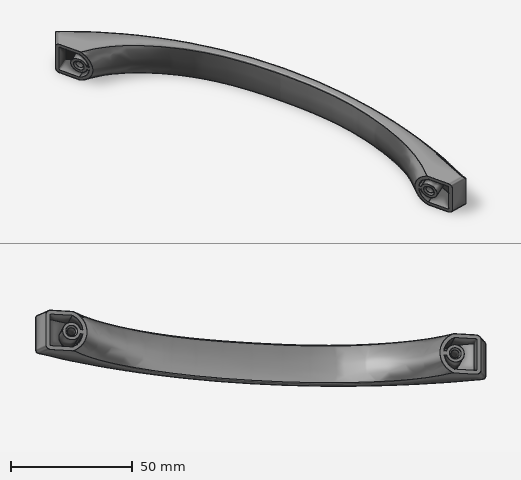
import cadquery as cq
import math

length = 187.8
height = 29.1
width = 17.0
half_length = length / 2
half_width = width / 2

end_corner_height = 6.4
foot_end_x = -90.7
end_corner_radius = 1.9
outer_edge_radius = 1.1
inner_edge_radius = 0.8

edge_foot_x = -79.5
crown_foot_x = -73.6
knee_x = -47.0
edge_knee_height = 19.2
crown_knee_height = 18.0
edge_middle_height = 25.5
crown_middle_height = 24.8
foot_direction = cq.Vector(1.0, 1.1, 0)
middle_direction = cq.Vector(1.0, 0, 0)
inner_section_count = 9

wall = 1.7
roof_thickness = 2.3
pocket_corner_radius = 0.5
boss_x = -80.0
boss_radius = 3.8
hole_radius = 1.7
chamfer_width = 0.8
hole_depth = 9.4
hole_tip = 1.0
rib_thickness = 1.9

foot_arc_rise = crown_foot_x - edge_foot_x
foot_arc_radius = (half_width**2 + foot_arc_rise**2) / (2 * foot_arc_rise)
foot_arc_center_x = crown_foot_x - foot_arc_radius

outer_rise = height - end_corner_height
outer_radius = (half_length**2 + outer_rise**2) / (2 * outer_rise)
outer_center_y = height - outer_radius


def outer_height(x):
    """Height of the outer face at x."""
    return outer_center_y + math.sqrt(outer_radius**2 - x**2)


def blend(edge, crown, share):
    """Value between the side edge (share 0) and the crown (share 1)."""
    return edge + (crown - edge) * share


def half_blank():
    """Left half of the bow, still solid down to the mounting plane."""
    arc_middle_x = -half_length / 2
    return (
        cq.Workplane("XY", origin=(0, 0, -half_width))
        .moveTo(foot_end_x, 0)
        .lineTo(-half_length, end_corner_height)
        .threePointArc((arc_middle_x, outer_height(arc_middle_x)), (0, height))
        .lineTo(0, 0)
        .close()
        .extrude(width)
    )


def under_bow_outline(z):
    """Closed outline of the space under the bow at the level z."""
    arc_x = foot_arc_center_x + math.sqrt(foot_arc_radius**2 - z**2)
    share = (arc_x - edge_foot_x) / foot_arc_rise
    foot = cq.Vector(arc_x, 0, z)
    knee = cq.Vector(knee_x, blend(edge_knee_height, crown_knee_height, share), z)
    middle = cq.Vector(0, blend(edge_middle_height, crown_middle_height, share), z)
    base = cq.Vector(0, 0, z)
    inner_curve = cq.Edge.makeSpline([foot, knee, middle], tangents=[foot_direction, middle_direction])
    return cq.Wire.assembleEdges(
        [inner_curve, cq.Edge.makeLine(middle, base), cq.Edge.makeLine(base, foot)]
    )


def under_bow():
    """Space under the bow, lofted across the width so that the inner face bulges at the crown."""
    step = width / (inner_section_count - 1)
    outlines = [under_bow_outline(-half_width + i * step) for i in range(inner_section_count)]
    return cq.Workplane(cq.Solid.makeLoft(outlines))


def rounded_end():
    """Prism along the sloping end face, as wide as the bow, with its two end corners rounded."""
    end_slope = cq.Vector(foot_end_x + half_length, -end_corner_height, 0)
    plane = cq.Plane(
        origin=(foot_end_x, 0, 0),
        xDir=(-end_slope.y, end_slope.x, 0),
        normal=end_slope.toTuple(),
    )
    corner_z = half_width - end_corner_radius
    arc_offset = end_corner_radius * math.sqrt(0.5)
    arc_middle = (end_corner_radius - arc_offset, corner_z + arc_offset)
    return (
        cq.Workplane(plane)
        .moveTo(length, -half_width)
        .lineTo(end_corner_radius, -half_width)
        .threePointArc((arc_middle[0], -arc_middle[1]), (0, -corner_z))
        .lineTo(0, corner_z)
        .threePointArc(arc_middle, (end_corner_radius, half_width))
        .lineTo(length, half_width)
        .close()
        .extrude(length, both=True)
    )


def round_long_edges(half):
    """Round the long edges of the bow: first along the outer face, then along the inner face."""
    half = half.edges("%CIRCLE").fillet(outer_edge_radius)
    return half.faces("<Z or >Z").edges("%BSPLINE").fillet(inner_edge_radius)


def pocket():
    """Cavity of the foot: inset from the foot outline, with a roof that follows the outer face."""
    inner_z = half_width - wall
    arc_radius = foot_arc_radius - wall
    end_x = foot_end_x + wall
    arc_start_x = foot_arc_center_x + math.sqrt(arc_radius**2 - inner_z**2)
    prism = (
        cq.Workplane("XZ")
        .moveTo(end_x, -inner_z)
        .lineTo(arc_start_x, -inner_z)
        .threePointArc((foot_arc_center_x + arc_radius, 0), (arc_start_x, inner_z))
        .lineTo(end_x, inner_z)
        .close()
        .extrude(-height)
        .edges("|Y and <X")
        .fillet(pocket_corner_radius)
    )
    below_roof = (
        cq.Workplane("XY", origin=(0, outer_center_y, -half_width))
        .circle(outer_radius - roof_thickness)
        .extrude(width)
    )
    boss = cq.Workplane("XZ").center(boss_x, 0).circle(boss_radius).extrude(-height)
    rib_length = foot_arc_center_x + foot_arc_radius - boss_x
    rib = (
        cq.Workplane("XZ")
        .center(boss_x + rib_length / 2, 0)
        .rect(rib_length, rib_thickness)
        .extrude(-height)
    )
    return prism.intersect(below_roof).cut(boss).cut(rib)


def screw_hole():
    """Blind hole up the boss, with a chamfered mouth and a conical end."""
    return (
        cq.Workplane("XY", origin=(boss_x, 0, 0))
        .lineTo(hole_radius + chamfer_width, 0)
        .lineTo(hole_radius, chamfer_width)
        .lineTo(hole_radius, hole_depth)
        .lineTo(0, hole_depth + hole_tip)
        .close()
        .revolve(360, (0, 0, 0), (0, 1, 0))
    )


half = round_long_edges(half_blank().cut(under_bow()))
half = half.intersect(rounded_end()).cut(pocket()).cut(screw_hole())
result = half.union(half.mirror("YZ"))